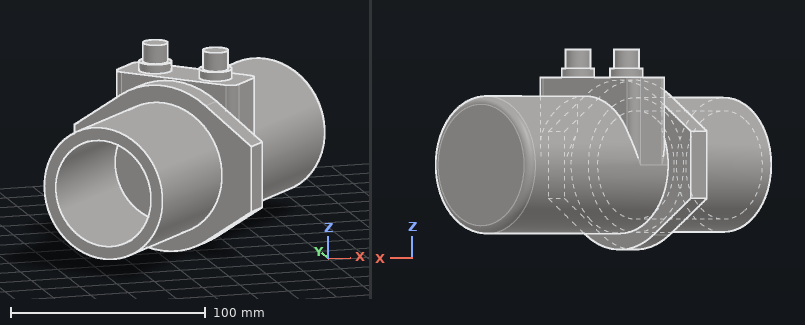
import cadquery as cq
import math

axis_angle = 45.0

front_end = -87.5
overall_length = 176.5
front_diameter = 69.2
bore_diameter = 55.7
rear_diameter = 70.8
rear_rim_radius = 4.1

flange_front = -23.5
flange_thickness = 11.7
flange_radius = 43.7
ear_reach = 51.8
ear_half_height = 17.3
flange_rear = flange_front + flange_thickness

block_length = 25.2
block_width = rear_diameter
block_top = 44.9
block_corner_radius = 4.8
block_center = flange_rear + block_length / 2

pin_spacing = 35.2
pin_diameter = 13.0
collar_diameter = 17.0
collar_height = 4.7
pin_top = 59.4


def axial_cylinder(diameter, start, end):
    """Cylinder on the pipe axis between two axial positions."""
    return cq.Workplane("YZ", origin=(start, 0, 0)).circle(diameter / 2).extrude(end - start)


def make_flange():
    corner_distance = math.hypot(ear_reach, ear_half_height)
    corner_angle = math.atan2(ear_half_height, ear_reach)
    tangent_angle = corner_angle + math.acos(flange_radius / corner_distance)
    tangent_y = flange_radius * math.cos(tangent_angle)
    tangent_z = flange_radius * math.sin(tangent_angle)
    return (
        cq.Workplane("YZ", origin=(flange_front, 0, 0))
        .moveTo(ear_reach, -ear_half_height)
        .lineTo(ear_reach, ear_half_height)
        .lineTo(tangent_y, tangent_z)
        .threePointArc((0, flange_radius), (-tangent_y, tangent_z))
        .lineTo(-ear_reach, ear_half_height)
        .lineTo(-ear_reach, -ear_half_height)
        .lineTo(-tangent_y, -tangent_z)
        .threePointArc((0, -flange_radius), (tangent_y, -tangent_z))
        .close()
        .extrude(flange_thickness)
    )


def make_block():
    return (
        cq.Workplane("XY", origin=(block_center, 0, 0))
        .rect(block_length, block_width)
        .extrude(block_top)
        .edges("|Z")
        .fillet(block_corner_radius)
    )


def make_pin(side):
    base = cq.Workplane("XY", origin=(block_center, side * pin_spacing / 2, block_top))
    collar = base.circle(collar_diameter / 2).extrude(collar_height)
    pin = base.circle(pin_diameter / 2).extrude(pin_top - block_top)
    return collar.union(pin)


front_pipe = axial_cylinder(front_diameter, front_end, flange_front)
rear_pipe = axial_cylinder(rear_diameter, flange_rear, front_end + overall_length)
rear_pipe = rear_pipe.faces(">X").edges().fillet(rear_rim_radius)

body = make_flange().union(front_pipe).union(rear_pipe).union(make_block())
for side in (-1, 1):
    body = body.union(make_pin(side))

body = body.cut(axial_cylinder(bore_diameter, front_end, flange_front))

result = body.rotate((0, 0, 0), (0, 0, 1), axis_angle)